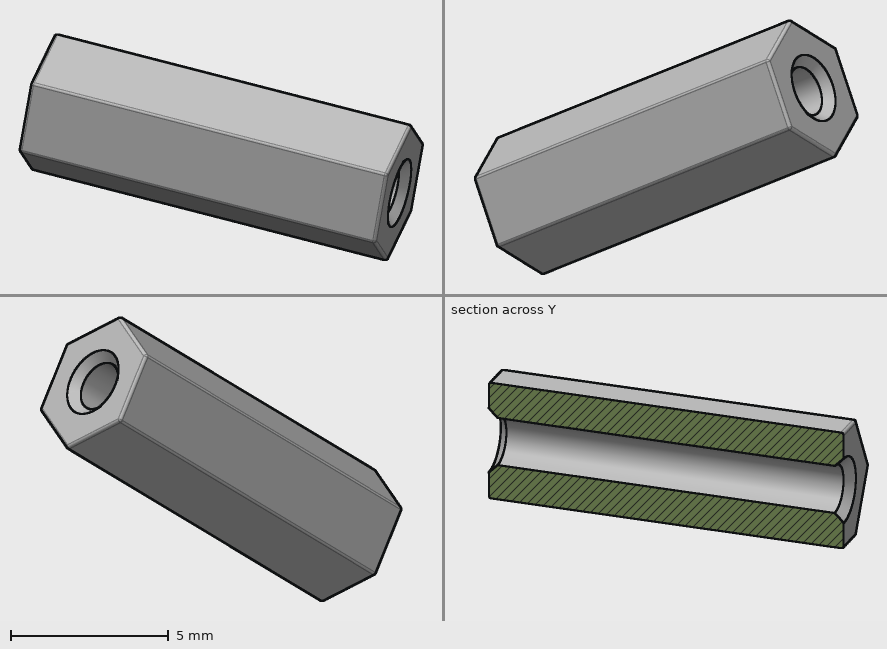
import cadquery as cq
import math

length = 12.0
across_flats = 4.0
edge_radius = 0.1
bore_diameter = 1.61
countersink_diameter = 2.22
countersink_angle = 90.0

across_corners = across_flats / math.cos(math.radians(30))
countersink_depth = (countersink_diameter - bore_diameter) / 2 / math.tan(math.radians(countersink_angle / 2))


def hexagonal_bar():
    """Hexagonal bar with two flats facing up and down and every edge rounded."""
    bar = cq.Workplane("YZ").polygon(6, across_corners).extrude(length / 2, both=True)
    return bar.edges().fillet(edge_radius)


def countersunk_bore():
    """Through bore with a conical countersink at both ends, as a solid of revolution."""
    half_length = length / 2
    bore_radius = bore_diameter / 2
    mouth_radius = countersink_diameter / 2
    cone_end = half_length - countersink_depth
    profile = [
        (-half_length, 0),
        (-half_length, mouth_radius),
        (-cone_end, bore_radius),
        (cone_end, bore_radius),
        (half_length, mouth_radius),
        (half_length, 0),
    ]
    return cq.Workplane("XY").polyline(profile).close().revolve(360, (0, 0, 0), (1, 0, 0))


result = hexagonal_bar().cut(countersunk_bore())